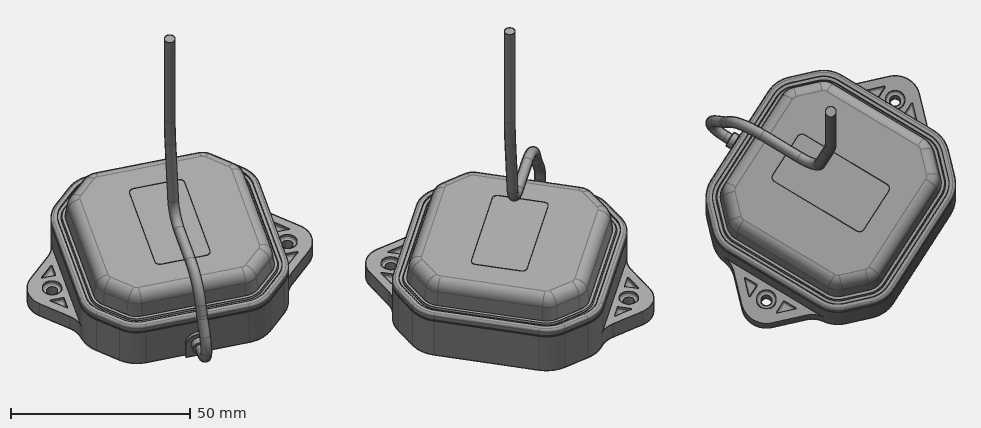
import cadquery as cq
import math

body_width = 60.0
corner_cut = 11.0
corner_radius = 9.7
half_width = body_width / 2
corner_centre_y = half_width - corner_radius
corner_centre_x = half_width - corner_cut - corner_radius * math.tan(math.radians(22.5))

seam_height = 12.8
rim_height = 15.0
dome_height = 22.45

base_edge_chamfer = 0.3

ear_thickness = 5.0
ear_tip_radius = 7.0
ear_reach = 41.0
ear_root_radius = 7.6
screw_hole_diameter = 3.1
counterbore_diameter = 5.4
counterbore_depth = 1.2
ear_pocket_depth = 1.2
ear_pocket_leg = 4.3
ear_pocket_corner_radius = 0.2
ear_recess_floor_fillet = 0.3
ear_pocket_inner_x = 4.4
ear_pocket_inner_y = 31.8
screw_y = ear_reach - ear_tip_radius

outlet_height = 5.0
outlet_plate_radius = 3.6
outlet_plate_thickness = 1.0
collar_radius = 2.2
collar_length = 2.0
outlet_plate_face = half_width + outlet_plate_thickness
collar_face = outlet_plate_face + collar_length

rim_fillet = 0.8
groove_outer_inset = 1.8
groove_floor_width = 1.0
groove_depth = 0.5
groove_inner_slope = 0.3
dome_inset = 4.0
dome_draft_angle = 8.0
dome_fillet = 3.5
label_length = 29.9
label_width = 15.9
label_corner_radius = 1.5
label_depth = 0.1

cable_diameter = 3.0
cable_top = 97.2
cable_crest_height = 29.6
cable_outer_x = 39.3


def octagon(height, inset=0.0):
    """The enclosure outline, moved inwards by `inset`, as a plate from z = 0 to `height`."""
    corner_shrink = inset * (2 - math.sqrt(2))
    width = body_width - 2 * inset
    plate = cq.Workplane("XY").rect(width, width).extrude(height)
    plate = plate.edges("|Z").chamfer(corner_cut - corner_shrink)
    return plate.edges("|Z").fillet(corner_radius - inset)


def make_ear():
    """Ear on the +Y side: a round tip, 45 degree flanks and concave roots on the body side."""
    slant = math.sqrt(0.5)
    tip_x = ear_tip_radius * slant
    tip_y = screw_y + ear_tip_radius * slant

    along = (tip_x + tip_y - corner_centre_x - corner_centre_y) * slant + ear_root_radius
    across = math.sqrt((corner_radius + ear_root_radius) ** 2 - along**2)
    root_centre_x = corner_centre_x + (along - across) * slant
    root_centre_y = corner_centre_y + (along + across) * slant
    body_angle = math.atan2(corner_centre_y - root_centre_y, corner_centre_x - root_centre_x)
    flank_angle = math.radians(-135)

    def root_point(angle):
        x = root_centre_x + ear_root_radius * math.cos(angle)
        y = root_centre_y + ear_root_radius * math.sin(angle)
        return x, y

    root_start_x, root_start_y = root_point(flank_angle)
    root_mid_x, root_mid_y = root_point((flank_angle + body_angle) / 2)
    root_end_x, root_end_y = root_point(body_angle)

    ear = (
        cq.Workplane("XY")
        .moveTo(-root_end_x, corner_centre_y)
        .lineTo(-root_end_x, root_end_y)
        .threePointArc((-root_mid_x, root_mid_y), (-root_start_x, root_start_y))
        .lineTo(-tip_x, tip_y)
        .threePointArc((0, ear_reach), (tip_x, tip_y))
        .lineTo(root_start_x, root_start_y)
        .threePointArc((root_mid_x, root_mid_y), (root_end_x, root_end_y))
        .lineTo(root_end_x, corner_centre_y)
        .close()
        .extrude(ear_thickness)
    )
    top_plane = cq.Workplane("XY", origin=(0, 0, ear_thickness))
    screw_hole = top_plane.center(0, screw_y).circle(screw_hole_diameter / 2).extrude(-ear_thickness)
    counterbore = (
        top_plane.center(0, screw_y)
        .circle(counterbore_diameter / 2)
        .extrude(-counterbore_depth)
        .faces("<Z")
        .edges()
        .fillet(ear_recess_floor_fillet)
    )
    ear = ear.cut(screw_hole).cut(counterbore)
    for side in (-1, 1):
        pocket = (
            top_plane.moveTo(side * ear_pocket_inner_x, ear_pocket_inner_y)
            .lineTo(side * (ear_pocket_inner_x + ear_pocket_leg), ear_pocket_inner_y)
            .lineTo(side * ear_pocket_inner_x, ear_pocket_inner_y + ear_pocket_leg)
            .close()
            .extrude(-ear_pocket_depth)
            .edges("|Z")
            .fillet(ear_pocket_corner_radius)
            .faces("<Z")
            .edges()
            .fillet(ear_recess_floor_fillet)
        )
        ear = ear.cut(pocket)
    return ear


def make_outlet():
    """Round-topped plate that stands on the mounting plane, with a collar for the cable."""
    wall = cq.Workplane("YZ", origin=(half_width, 0, 0))
    plate = wall.center(0, outlet_height).circle(outlet_plate_radius).extrude(outlet_plate_thickness)
    foot = (
        wall.center(0, outlet_height / 2)
        .rect(2 * outlet_plate_radius, outlet_height)
        .extrude(outlet_plate_thickness)
    )
    collar = (
        cq.Workplane("YZ", origin=(outlet_plate_face, 0, outlet_height))
        .circle(collar_radius)
        .extrude(collar_length)
    )
    return plate.union(foot).union(collar)


def make_base():
    base = octagon(seam_height).faces(">Z").edges().chamfer(base_edge_chamfer)
    ear = make_ear()
    return base.union(ear).union(ear.mirror("XZ")).union(make_outlet())


def make_lid():
    rim = octagon(rim_height - seam_height).faces(">Z").edges().fillet(rim_fillet)
    rim = rim.translate((0, 0, seam_height))

    groove_outside = octagon(groove_depth, groove_outer_inset)
    groove_inside = (
        octagon(groove_depth, groove_outer_inset + groove_floor_width)
        .faces(">Z")
        .edges()
        .chamfer(groove_depth * 0.99, groove_inner_slope)
    )
    groove = groove_outside.cut(groove_inside).translate((0, 0, rim_height - groove_depth))

    dome = (
        octagon(rim_height, dome_inset)
        .faces(">Z")
        .wires()
        .toPending()
        .workplane()
        .extrude(dome_height - rim_height, combine=False, taper=dome_draft_angle)
        .faces(">Z")
        .edges()
        .fillet(dome_fillet)
    )

    label_recess = (
        cq.Workplane("XY", origin=(0, 0, dome_height - label_depth))
        .rect(label_length, label_width)
        .extrude(label_depth)
        .edges("|Z")
        .fillet(label_corner_radius)
    )
    return rim.cut(groove).union(dome).cut(label_recess)


def rounded_path(start, corners, end):
    """Straight runs in the XZ plane, joined by an arc at each (x, z, radius) corner."""
    path = cq.Workplane("XZ").moveTo(*start)
    previous = start
    following = [corner[:2] for corner in corners[1:]] + [end]
    for (x, z, radius), (next_x, next_z) in zip(corners, following):
        in_angle = math.atan2(z - previous[1], x - previous[0])
        out_angle = math.atan2(next_z - z, next_x - x)
        turn = math.remainder(out_angle - in_angle, 2 * math.pi)
        tangent = radius * math.tan(abs(turn) / 2)
        arc_start = (x - tangent * math.cos(in_angle), z - tangent * math.sin(in_angle))
        arc_end = (x + tangent * math.cos(out_angle), z + tangent * math.sin(out_angle))
        path = path.lineTo(*arc_start).tangentArcPoint(arc_end, relative=False)
        previous = (x, z)
    return path.lineTo(*end)


def make_cable():
    """Round cable that leaves the collar, climbs beside the enclosure and ends upright over it."""
    bends = [
        (cable_outer_x, outlet_height, 4.9),
        (cable_outer_x, 12.5, 8.7),
        (34.7, 19.6, 7.8),
        (29.9, cable_crest_height, 11.7),
        (4.5, cable_crest_height, 6.8),
        (0, 60.0, 58.3),
    ]
    path = rounded_path((collar_face, outlet_height), bends, (0, cable_top))
    return (
        cq.Workplane("YZ", origin=(collar_face, 0, outlet_height))
        .circle(cable_diameter / 2)
        .sweep(path)
    )


base = make_base()
lid = make_lid()
cable = make_cable()

result = cq.Compound.makeCompound([base.val(), lid.val(), cable.val()])